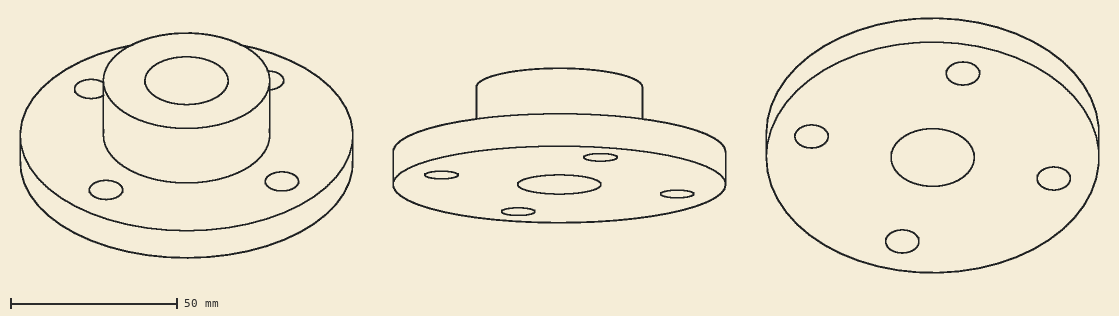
import cadquery as cq

flange_diameter = 100
flange_thickness = 10
hub_diameter = 50
hub_height = 20
bore_diameter = 25
bolt_hole_diameter = 10
bolt_circle_diameter = 75
bolt_hole_count = 4

total_height = flange_thickness + hub_height

flange = cq.Workplane("XY").circle(flange_diameter / 2).extrude(flange_thickness)

hub = cq.Workplane("XY").circle(hub_diameter / 2).extrude(total_height)

bore = cq.Workplane("XY").circle(bore_diameter / 2).extrude(total_height)

bolt_holes = (
    cq.Workplane("XY")
    .polarArray(bolt_circle_diameter / 2, 0, 360, bolt_hole_count)
    .circle(bolt_hole_diameter / 2)
    .extrude(flange_thickness)
)

result = flange.union(hub).cut(bore).cut(bolt_holes)